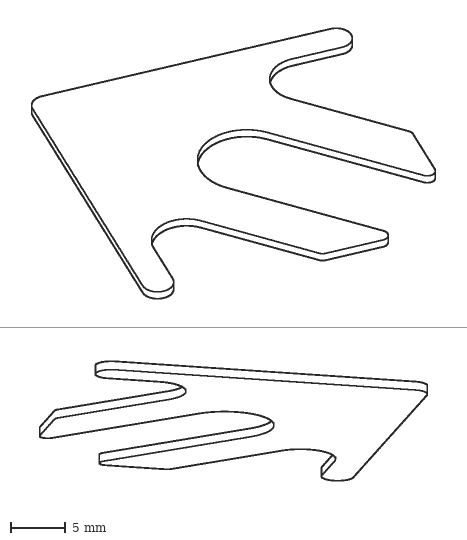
import cadquery as cq
import math

side = 31.5
thickness = 0.82
outer_corner_radius = 1.48

leg_width = 3.0

center_slot_position = 15.75
center_slot_radius = 4.57

side_slot_radius = 3.25
side_slot_depth_position = 25.1

sharp_tip_radius = 0.75
blunt_tip_radius = 0.75

root_half = math.sqrt(0.5)
side_slot_offset = leg_width + side_slot_radius
arm_outer_shift = side_slot_depth_position - side_slot_offset - side_slot_radius / root_half
arm_inner_shift = center_slot_radius / root_half


def diagonal_slot():
    """Round-bottomed slot leaving the plate through its upper right corner."""
    length = 2 * side
    bottom = cq.Workplane("XY").circle(center_slot_radius).extrude(thickness)
    channel = (
        cq.Workplane("XY")
        .rect(length, 2 * center_slot_radius)
        .extrude(thickness)
        .translate((length / 2, 0, 0))
    )
    return (
        bottom.union(channel)
        .rotate((0, 0, 0), (0, 0, 1), 45)
        .translate((center_slot_position, center_slot_position, 0))
    )


def upper_side_slot():
    """Flaring slot between the left leg and the upper arm."""
    center_x = side_slot_offset
    center_y = side_slot_depth_position
    reach = side_slot_radius * root_half
    return (
        cq.Workplane("XY")
        .moveTo(leg_width, side)
        .lineTo(leg_width, center_y)
        .threePointArc(
            (center_x, center_y - side_slot_radius),
            (center_x + reach, center_y - reach),
        )
        .lineTo(side - arm_outer_shift, side)
        .close()
        .extrude(thickness)
    )


def mirror_diagonal(body):
    """Swap X and Y of a flat body by mirroring it across the X = Y line."""
    return body.mirror("YZ").rotate((0, 0, 0), (0, 0, 1), -90)


def round_corner(body, x, y, radius):
    """Round the vertical edge standing at a point and at its diagonal mirror."""
    reach = 0.003
    for px, py in ((x, y), (y, x)):
        near_corner = cq.selectors.BoxSelector(
            (px - reach, py - reach, -reach),
            (px + reach, py + reach, thickness + reach),
        )
        body = body.edges("|Z").edges(near_corner).fillet(radius)
    return body


plate = cq.Workplane("XY").rect(side, side, centered=False).extrude(thickness)
plate = plate.edges("|Z and (<X or <Y)").fillet(outer_corner_radius)

upper_slot = upper_side_slot()
plate = plate.cut(diagonal_slot()).cut(upper_slot).cut(mirror_diagonal(upper_slot))

plate = round_corner(plate, side - arm_inner_shift, side, sharp_tip_radius)
plate = round_corner(plate, side - arm_outer_shift, side, blunt_tip_radius)

plate = round_corner(plate, leg_width, side, outer_corner_radius)

result = plate